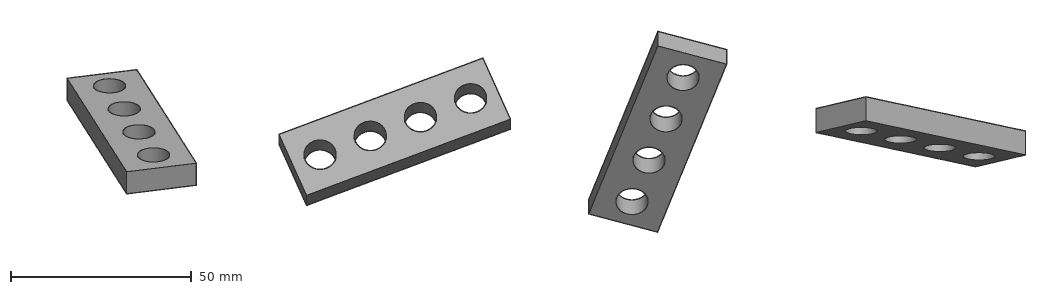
import cadquery as cq

length = 60.95
width = 20.05
thickness = 6.8

hole_diameter = 8.9
hole_count = 4
hole_pitch = 15.0
first_hole_offset = 7.8

first_hole_x = first_hole_offset - length / 2
hole_centers = [(first_hole_x + i * hole_pitch, 0) for i in range(hole_count)]

plate = cq.Workplane("XY").box(length, width, thickness)

result = plate.faces(">Z").workplane().pushPoints(hole_centers).hole(hole_diameter)